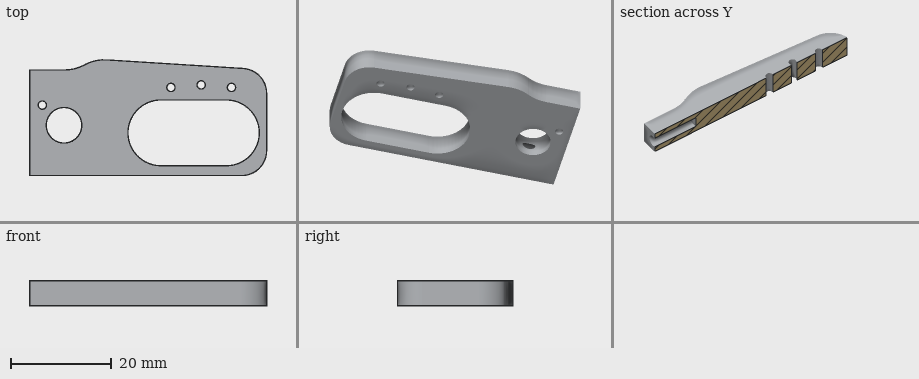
import cadquery as cq

length = 47.0
thickness = 5.0
left_height = 21.0
right_height = 21.0
shoulder_start_x = 9.0
shoulder_peak_x = 13.0
shoulder_peak_y = 23.13
shoulder_radius = 8.0
corner_radius = 5.0

window_length = 26.0
window_width = 13.0
window_end_margin = 1.5
window_lower_margin = 2.0

bore_diameter = 7.0
bore_center = (6.8, 10.0)

pin_diameter = 1.6
left_pin_center = (2.5, 14.0)
pin_row_pitch = 6.0
pin_row_middle = (34.0, 18.0)
pin_row_outer_drop = 0.5

end_hole_diameter = 2.5
end_hole_depth = 10.0
end_hole_heights = (5.5, 18.0)


def make_plate():
    """Extrude the outline, then round the shoulder and the right-hand corners."""
    outline = [
        (0, 0),
        (length, 0),
        (length, right_height),
        (shoulder_peak_x, shoulder_peak_y),
        (shoulder_start_x, left_height),
        (0, left_height),
    ]
    plate = cq.Workplane("XY").polyline(outline).close().extrude(thickness)
    plate = plate.edges("|Z and >X").fillet(corner_radius)
    shoulder_corners = (
        (shoulder_start_x, left_height),
        (shoulder_peak_x, shoulder_peak_y),
    )
    for x, y in shoulder_corners:
        corner = cq.selectors.NearestToPointSelector((x, y, thickness / 2))
        plate = plate.edges("|Z").edges(corner).fillet(shoulder_radius)
    return plate


def make_window():
    """Slot with full-round ends, running along the plate."""
    center_x = length - window_end_margin - window_length / 2
    center_y = window_lower_margin + window_width / 2
    return (
        cq.Workplane("XY")
        .center(center_x, center_y)
        .slot2D(window_length, window_width)
        .extrude(thickness)
    )


def make_through_holes(centers, diameter):
    """Cylinders through the plate thickness at the given centers."""
    return cq.Workplane("XY").pushPoints(centers).circle(diameter / 2).extrude(thickness)


def pin_centers():
    """Centers of the hole beside the bore and of the bowed row above the window."""
    middle_x, middle_y = pin_row_middle
    outer_y = middle_y - pin_row_outer_drop
    return [
        left_pin_center,
        (middle_x - pin_row_pitch, outer_y),
        pin_row_middle,
        (middle_x + pin_row_pitch, outer_y),
    ]


def make_end_holes():
    """Flat-bottomed holes entering the left end face at mid thickness."""
    centers = [(y, thickness / 2) for y in end_hole_heights]
    return (
        cq.Workplane("YZ")
        .pushPoints(centers)
        .circle(end_hole_diameter / 2)
        .extrude(end_hole_depth)
    )


result = (
    make_plate()
    .cut(make_window())
    .cut(make_through_holes([bore_center], bore_diameter))
    .cut(make_through_holes(pin_centers(), pin_diameter))
    .cut(make_end_holes())
)